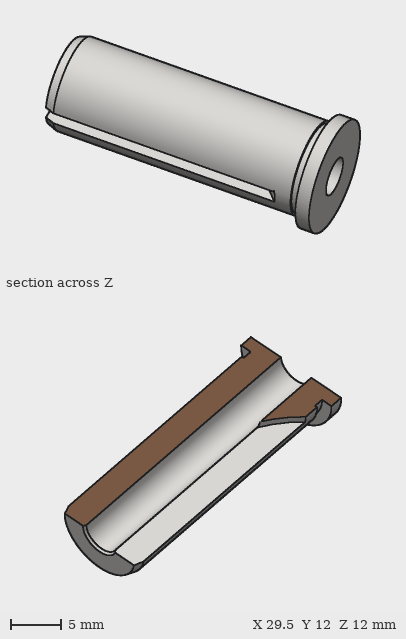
import cadquery as cq
import math

total_length = 29.5
flange_thickness = 1.5
groove_width = 1.0
flange_start = total_length - flange_thickness
groove_start = flange_start - groove_width

body_radius = 5.0
flange_radius = 6.0
groove_radius = 4.75
bore_radius = 2.0

taper_length = 1.0
taper_angle = 20.0
taper_tip_radius = body_radius - taper_length * math.tan(math.radians(taper_angle))

bore_chamfer_length = 0.3
bore_chamfer_depth = 0.2

slot_width = 1.5
saw_radius = 14.0
saw_center_x = 14.55
saw_depth_y = 0.0


def make_sleeve():
    """Revolve the stepped outer profile and the bore around the X axis."""
    return (
        cq.Workplane("XY")
        .moveTo(0, bore_radius + bore_chamfer_depth)
        .lineTo(0, taper_tip_radius)
        .lineTo(taper_length, body_radius)
        .lineTo(groove_start, body_radius)
        .lineTo(groove_start, groove_radius)
        .lineTo(flange_start, groove_radius)
        .lineTo(flange_start, flange_radius)
        .lineTo(total_length, flange_radius)
        .lineTo(total_length, bore_radius)
        .lineTo(bore_chamfer_length, bore_radius)
        .close()
        .revolve(360, (0, 0, 0), (1, 0, 0))
    )


def make_slot():
    """Cutter on the -Y side: a straight run from the lead-in end, finished by the saw disc."""
    saw_center_y = saw_depth_y - saw_radius
    straight_run = (
        cq.Workplane("XY")
        .moveTo(0, saw_depth_y)
        .lineTo(saw_center_x, saw_depth_y)
        .lineTo(saw_center_x, saw_center_y)
        .lineTo(0, saw_center_y)
        .close()
        .extrude(slot_width / 2, both=True)
    )
    saw_disc = (
        cq.Workplane("XY")
        .center(saw_center_x, saw_center_y)
        .circle(saw_radius)
        .extrude(slot_width / 2, both=True)
    )
    return straight_run.union(saw_disc)


result = make_sleeve().cut(make_slot())